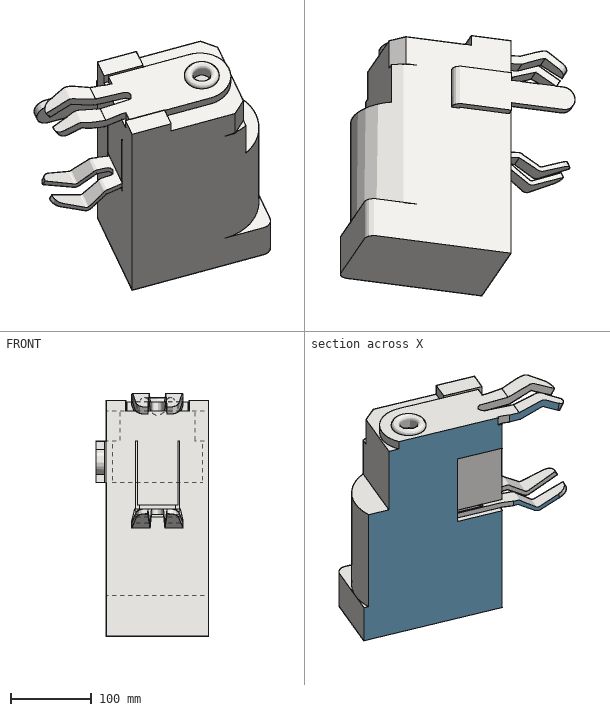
import cadquery as cq
import math


body_width = 126.8
body_depth = 185.8
half_width = body_width / 2
foot_height = 50.8
foot_corner_radius = 12.3
barrel_radius = half_width
barrel_center_y = body_depth - barrel_radius
barrel_step_z = 190.3
barrel_top_z = 241.7
deck_z = 279.0
deck_back_y = 152.5
deck_chamfer = 16.8
shoulder_z = 292.2
shoulder_depth = 51.5
channel_width = 78.2

tab_thickness = 10.5
tab_gap = 2.5
tab_bend_radius = 10.2
tab_top_z = barrel_top_z
tab_bottom_z = barrel_step_z
tab_back_y = 77.0
tab_wide_front_y = 3.3
tab_tip_y = -78.8
tab_prong_width = 31.0
tab_outer_x = -(half_width + tab_gap + tab_thickness)

plate_width = 76.3
plate_top_z = 290.0
plate_back_y = 150.3
plate_front_y = 5.5
rivet_y = 114.5
rivet_ring_radius = 16.2
rivet_ring_thickness = 10.8
rivet_hole_radius = rivet_ring_radius - rivet_ring_thickness / 2
rivet_hole_point_angle = 118

panel_left_x = -24.5
panel_right_x = 25.5
panel_bottom_z = 162.5
panel_slot_depth = 60
opening_half_width = 27
opening_bottom_z = 147.5

prong_wide_x = 32.0
prong_wide_start_y = -42.7
prong_wide_end_y = -48.7
prong_taper_end_x = 23.7
prong_tip_radius = 12.5
prong_slot_radius = 6.5
prong_slot_tip_x = 12.3
prong_end_y = -93.2
trim_height = 330.5

upper_neck_x = 25.5
upper_slot_end_y = 21
upper_root_y = 30
upper_bend_top = (-22.2, plate_top_z)
upper_bend_bottom = (-24, deck_z)
upper_crest_arc = ((-51, 300.0), (-54.7, 300.5), (-58.5, 299.5))
upper_crest_bottom = (-53.8, 290.5)
upper_tip_top = (-86.0, 283.7)
upper_tip_bottom = (-81.2, 275.0)

lower_base_x = 24.3
lower_top_z = 157.8
lower_bottom_z = 150.5
lower_slot_end_y = -2.5
lower_root_y = panel_slot_depth
lower_bend_arc = ((-19.2, lower_top_z), (-22.8, 157.2), (-25.5, 155.0))
lower_bend_bottom = (-21, lower_bottom_z)
lower_trough_top_arc = ((-45.7, 140.7), (-47.5, 140.0), (-49.3, 140.5))
lower_trough_bottom_arc = ((-50.5, 134.5), (-47.0, 134.0), (-42.7, 136.0))
lower_tip_top = (-87.2, 157.8)
lower_tip_bottom = (-90.2, 151.8)

ramp_half_width = 22.2
ramp_front_y = 24
ramp_run = 12


def block(x_range, y_range, z_range):
    """Axis-aligned box spanning the given ranges."""
    size = [end - start for start, end in (x_range, y_range, z_range)]
    corner = (x_range[0], y_range[0], z_range[0])
    return cq.Workplane("XY").box(*size, centered=False).translate(corner)


def make_body():
    sides = (-half_width, half_width)
    foot = block(sides, (0, body_depth), (0, foot_height))
    foot = foot.edges("|Z and >Y").fillet(foot_corner_radius)

    barrel = (
        cq.Workplane("XY")
        .moveTo(-half_width, 0)
        .lineTo(half_width, 0)
        .lineTo(half_width, barrel_center_y)
        .threePointArc((0, body_depth), (-half_width, barrel_center_y))
        .close()
        .extrude(barrel_top_z)
    )
    barrel = barrel.cut(block(sides, (deck_back_y, body_depth), (barrel_step_z, barrel_top_z)))

    head = block(sides, (0, deck_back_y), (barrel_top_z, deck_z))
    head = head.edges("|Z and >Y").chamfer(deck_chamfer)

    shoulders = block(sides, (0, shoulder_depth), (deck_z, shoulder_z))
    channel = block((-channel_width / 2, channel_width / 2), (0, shoulder_depth), (deck_z, shoulder_z))
    return foot.union(barrel).union(head).union(shoulders.cut(channel))


def make_panel_slots():
    """U-shaped gap that leaves a panel hanging in the front face and a ramp behind its lower edge."""
    depth = (0, panel_slot_depth)
    opening = block((-opening_half_width, opening_half_width), depth, (opening_bottom_z, tab_top_z))
    panel = block((panel_left_x, panel_right_x), depth, (panel_bottom_z, tab_top_z))
    return opening.cut(panel).cut(make_ramp())


def make_side_tab():
    inner_x = tab_outer_x + tab_thickness
    height = (tab_bottom_z, tab_top_z)
    middle_z = (tab_bottom_z + tab_top_z) / 2
    half_prong = tab_prong_width / 2
    plate = block((tab_outer_x, inner_x), (tab_wide_front_y, tab_back_y), height)
    plate = plate.edges("|Z and <X and >Y").fillet(tab_bend_radius)
    leg = block((inner_x, -half_width), (tab_back_y - tab_thickness, tab_back_y), height)
    prong = (
        cq.Workplane("YZ", origin=(tab_outer_x, 0, 0))
        .moveTo(tab_wide_front_y, middle_z - half_prong)
        .lineTo(tab_tip_y + half_prong, middle_z - half_prong)
        .threePointArc((tab_tip_y, middle_z), (tab_tip_y + half_prong, middle_z + half_prong))
        .lineTo(tab_wide_front_y, middle_z + half_prong)
        .close()
        .extrude(tab_thickness)
    )
    return plate.union(leg).union(prong)


def make_fork(strip_profile, base_x, root_y, slot_end_y):
    """Two-pronged fork: a bent strip trimmed to its plan outline, with rounded outer tip corners."""
    right_side = [
        (base_x, root_y),
        (base_x, 0),
        (prong_wide_x, prong_wide_start_y),
        (prong_wide_x, prong_wide_end_y),
        (prong_taper_end_x, prong_end_y),
    ]
    left_side = [(-x, y) for x, y in reversed(right_side)]
    plan = cq.Workplane("XY").polyline(right_side + left_side).close().extrude(trim_height)
    fork = strip_profile.extrude(half_width, both=True).intersect(plan)
    fork = fork.faces("<Y").edges("<X or >X").fillet(prong_tip_radius)
    return fork.cut(make_fork_slot(slot_end_y))


def make_fork_slot(slot_end_y):
    """Tall cutter for the round-ended slot that widens toward the prong tips."""
    slot_center_y = slot_end_y - prong_slot_radius
    return (
        cq.Workplane("XY")
        .moveTo(-prong_slot_radius, slot_center_y)
        .threePointArc((0, slot_end_y), (prong_slot_radius, slot_center_y))
        .lineTo(prong_slot_tip_x, prong_end_y)
        .lineTo(-prong_slot_tip_x, prong_end_y)
        .close()
        .extrude(trim_height)
    )


def make_upper_contact():
    arc_center_y = plate_back_y - plate_width / 2
    plate = (
        cq.Workplane("XY", origin=(0, 0, deck_z))
        .moveTo(-plate_width / 2, plate_front_y)
        .lineTo(plate_width / 2, plate_front_y)
        .lineTo(plate_width / 2, arc_center_y)
        .threePointArc((0, plate_back_y), (-plate_width / 2, arc_center_y))
        .close()
        .extrude(plate_top_z - deck_z)
    )
    plate = plate.cut(make_fork_slot(upper_slot_end_y))
    crest_start, crest_middle, crest_end = upper_crest_arc
    strip_profile = (
        cq.Workplane("YZ")
        .moveTo(upper_root_y, deck_z)
        .lineTo(upper_root_y, plate_top_z)
        .lineTo(*upper_bend_top)
        .lineTo(*crest_start)
        .threePointArc(crest_middle, crest_end)
        .lineTo(*upper_tip_top)
        .lineTo(*upper_tip_bottom)
        .lineTo(*upper_crest_bottom)
        .lineTo(*upper_bend_bottom)
        .close()
    )
    return plate.union(make_fork(strip_profile, upper_neck_x, upper_root_y, upper_slot_end_y))


def make_lower_contact():
    bend_start, bend_middle, bend_end = lower_bend_arc
    top_start, top_middle, top_end = lower_trough_top_arc
    bottom_start, bottom_middle, bottom_end = lower_trough_bottom_arc
    strip_profile = (
        cq.Workplane("YZ")
        .moveTo(lower_root_y, lower_bottom_z)
        .lineTo(lower_root_y, lower_top_z)
        .lineTo(*bend_start)
        .threePointArc(bend_middle, bend_end)
        .lineTo(*top_start)
        .threePointArc(top_middle, top_end)
        .lineTo(*lower_tip_top)
        .lineTo(*lower_tip_bottom)
        .lineTo(*bottom_start)
        .threePointArc(bottom_middle, bottom_end)
        .lineTo(*lower_bend_bottom)
        .close()
    )
    return make_fork(strip_profile, lower_base_x, lower_root_y, lower_slot_end_y)


def make_ramp():
    """Wedge rising from the lower contact to the underside of the panel."""
    return (
        cq.Workplane("YZ")
        .moveTo(ramp_front_y, lower_top_z)
        .lineTo(ramp_front_y + ramp_run, panel_bottom_z)
        .lineTo(panel_slot_depth, panel_bottom_z)
        .lineTo(panel_slot_depth, lower_top_z)
        .close()
        .extrude(ramp_half_width, both=True)
    )


def add_rivet(solid):
    ring_center = cq.Vector(0, rivet_y, plate_top_z)
    ring = cq.Solid.makeTorus(rivet_ring_radius, rivet_ring_thickness / 2, ring_center, cq.Vector(0, 0, 1))
    point_depth = rivet_hole_radius / math.tan(math.radians(rivet_hole_point_angle / 2))
    hole = (
        cq.Workplane("XZ", origin=(0, rivet_y, 0))
        .moveTo(0, deck_z - point_depth)
        .lineTo(rivet_hole_radius, deck_z)
        .lineTo(rivet_hole_radius, plate_top_z)
        .lineTo(0, plate_top_z)
        .close()
        .revolve(360, (0, 0), (0, 1))
    )
    return solid.union(cq.Workplane(obj=ring)).cut(hole)


result = make_body().cut(make_panel_slots())
result = result.union(make_side_tab()).union(make_lower_contact())
result = add_rivet(result.union(make_upper_contact()))